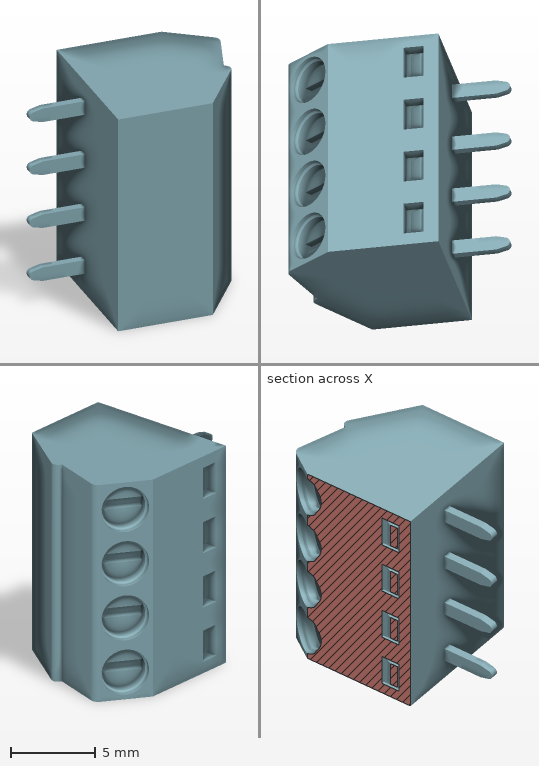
import cadquery as cq
import math

WIDTH = 10.0
HEIGHT = 9.5
LENGTH = 14.0
POLES = 4
PITCH = LENGTH / POLES

LEFT_WALL = 6.66
RIGHT_WALL = 6.02
SCREW_ANGLE = math.radians(55)
RIDGE_ANGLE = math.radians(18)
REAR_ANGLE = math.radians(35)
PEAK_RADIUS = 0.5
BEAD_RADIUS = 0.42
REAR_SLOPE_LENGTH = 4.62

WELL_HEIGHT = 8.05
WELL_MOUTH_RADIUS = 1.45
WELL_RADIUS = 1.33
WELL_DEPTH = 1.0
WELL_STEP_DEPTH = 0.42
SCREW_SLOT_WIDTH = 0.6
SCREW_SLOT_DEPTH = 0.49

WINDOW_HEIGHT = 1.2
WINDOW_LENGTH = 2.0
WINDOW_DEPTH = 0.84
WINDOW_CENTER_Y = 1.5
CLAMP_LENGTH = 1.6
CLAMP_HEIGHT = 0.85
CLAMP_FLAT = 0.27
CLAMP_RISE = 0.31
CLAMP_GAP = 0.07

PIN_X = 4.3
PIN_THICKNESS = 0.5
PIN_WIDTH = 0.9
PIN_LENGTH = 3.5
PIN_STRAIGHT = 2.67
PIN_TAPER = 0.57
PIN_NOSE_WIDTH = 0.6
PIN_ROOT = 0.14


def housing():
    peak_y = HEIGHT - PEAK_RADIUS
    slope_length = (peak_y - LEFT_WALL + PEAK_RADIUS * math.cos(SCREW_ANGLE)) / math.sin(SCREW_ANGLE)
    slope_end_x = slope_length * math.cos(SCREW_ANGLE)
    slope_end_y = LEFT_WALL + slope_length * math.sin(SCREW_ANGLE)
    peak_x = slope_end_x + PEAK_RADIUS * math.sin(SCREW_ANGLE)
    ridge_normal_x = math.sin(RIDGE_ANGLE)
    ridge_normal_y = math.cos(RIDGE_ANGLE)
    ridge_start = (peak_x + PEAK_RADIUS * ridge_normal_x, peak_y + PEAK_RADIUS * ridge_normal_y)

    rear_x = WIDTH - REAR_SLOPE_LENGTH * math.cos(REAR_ANGLE)
    rear_y = RIGHT_WALL + REAR_SLOPE_LENGTH * math.sin(REAR_ANGLE)
    bead_x = rear_x - BEAD_RADIUS * math.sin(REAR_ANGLE)
    bead_y = rear_y - BEAD_RADIUS * math.cos(REAR_ANGLE)

    offset = (bead_x - peak_x) * ridge_normal_x + (bead_y - peak_y) * ridge_normal_y - PEAK_RADIUS
    half_chord = math.sqrt(BEAD_RADIUS**2 - offset**2)
    notch_x = bead_x - offset * ridge_normal_x - half_chord * ridge_normal_y
    notch_y = bead_y - offset * ridge_normal_y + half_chord * ridge_normal_x

    return (
        cq.Workplane("XY")
        .moveTo(0, 0)
        .lineTo(0, LEFT_WALL)
        .lineTo(slope_end_x, slope_end_y)
        .threePointArc((peak_x, HEIGHT), ridge_start)
        .lineTo(notch_x, notch_y)
        .threePointArc((bead_x, bead_y + BEAD_RADIUS), (rear_x, rear_y))
        .lineTo(WIDTH, RIGHT_WALL)
        .lineTo(WIDTH, 0)
        .close()
        .extrude(LENGTH)
    )


def screw_well(z):
    """Stepped well with a cone between its two bores, and the screw slot in its floor."""
    mouth = cq.Vector((WELL_HEIGHT - LEFT_WALL) / math.tan(SCREW_ANGLE), WELL_HEIGHT, z)
    up_slope = cq.Vector(math.cos(SCREW_ANGLE), math.sin(SCREW_ANGLE), 0)
    inward = cq.Vector(math.sin(SCREW_ANGLE), -math.cos(SCREW_ANGLE), 0)
    cone_depth = WELL_MOUTH_RADIUS - WELL_RADIUS
    bores = (
        cq.Workplane(cq.Plane(mouth, up_slope, up_slope.cross(inward)))
        .moveTo(0, 0)
        .lineTo(WELL_MOUTH_RADIUS, 0)
        .lineTo(WELL_MOUTH_RADIUS, WELL_STEP_DEPTH - cone_depth)
        .lineTo(WELL_RADIUS, WELL_STEP_DEPTH)
        .lineTo(WELL_RADIUS, WELL_DEPTH)
        .lineTo(0, WELL_DEPTH)
        .close()
        .revolve(360, (0, 0), (0, 1))
    )
    floor = cq.Workplane(cq.Plane(mouth + inward * WELL_DEPTH, up_slope, inward))
    slot_bar = floor.rect(2 * WELL_RADIUS, SCREW_SLOT_WIDTH).extrude(SCREW_SLOT_DEPTH)
    screw_head = floor.circle(WELL_RADIUS).extrude(SCREW_SLOT_DEPTH)
    return bores.union(slot_bar.intersect(screw_head))


def window(z):
    """Rectangular recess in the left wall, less the clamp that stays standing in it."""
    bottom = WINDOW_CENTER_Y - WINDOW_HEIGHT / 2
    recess = (
        cq.Workplane("XY")
        .box(WINDOW_DEPTH, WINDOW_HEIGHT, WINDOW_LENGTH, centered=(False, False, True))
        .translate((0, bottom, z))
    )
    clamp_bottom = bottom + CLAMP_GAP
    clamp_face = WINDOW_DEPTH - CLAMP_RISE
    clamp = (
        cq.Workplane("XY", origin=(0, 0, z - CLAMP_LENGTH / 2))
        .moveTo(WINDOW_DEPTH, clamp_bottom)
        .lineTo(clamp_face, clamp_bottom)
        .lineTo(clamp_face, clamp_bottom + CLAMP_FLAT)
        .lineTo(WINDOW_DEPTH, clamp_bottom + CLAMP_HEIGHT)
        .close()
        .extrude(CLAMP_LENGTH)
    )
    return recess.cut(clamp)


def pin(z):
    """Flat pin, tapered near its end and rounded at its nose."""
    taper_end = PIN_STRAIGHT + PIN_TAPER
    half_width = PIN_WIDTH / 2
    half_nose = PIN_NOSE_WIDTH / 2
    return (
        cq.Workplane("YZ", origin=(PIN_X, 0, z))
        .moveTo(PIN_ROOT, -half_width)
        .lineTo(-PIN_STRAIGHT, -half_width)
        .lineTo(-taper_end, -half_nose)
        .threePointArc((-PIN_LENGTH, 0), (-taper_end, half_nose))
        .lineTo(-PIN_STRAIGHT, half_width)
        .lineTo(PIN_ROOT, half_width)
        .close()
        .extrude(PIN_THICKNESS / 2, both=True)
    )


result = housing()
for pole in range(POLES):
    pole_z = (pole + 0.5) * PITCH
    result = result.cut(screw_well(pole_z)).cut(window(pole_z)).union(pin(pole_z))